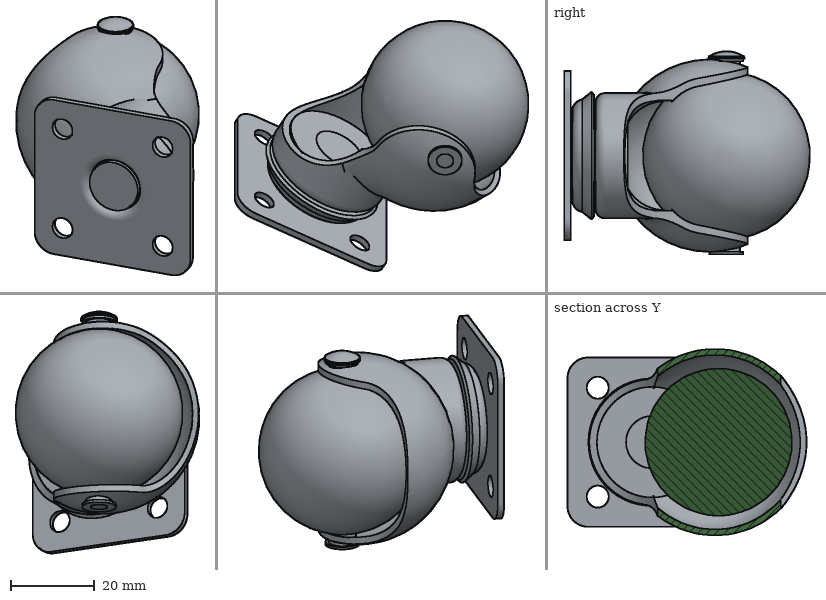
import cadquery as cq
import math


BALL_RADIUS = 20.0

HOOD_CENTRE_X = 0.85
HOOD_CENTRE_Y = -4.0
HOOD_RADIUS = 23.0
HOOD_WALL = 1.5

LUG_CENTRE_X = 1.9
LUG_CENTRE_Y = -7.3
LUG_RADIUS = 12.4
LIP_Y = -11.0
LIP_ARC_RADIUS = 11.7
BACK_ARC_RADIUS = 18.3
BACK_ARC_CENTRE_Y = -6.3
OPENING_REACH = 60.0

NECK_DROP_ANGLE = 42.2
NECK_START = 14.7

SWIVEL_X = 15.85
CUP_RADIUS = 15.0
CUP_BOTTOM_Y = -31.3
CUP_TOP_Y = -13.0
CUP_EDGE_RADIUS = 2.35

DISC_RADIUS = 13.2
DISC_TOP_Y = -23.6
DISC_THICKNESS = 2.0

PLATE_SIDE = 40.5
PLATE_FACE_Y = -38.76
PLATE_THICKNESS = 1.6
PLATE_CORNER_RADIUS = 5.0
SCREW_SPACING = 26.0
SCREW_HOLE_DIAMETER = 5.2
COLLAR_RADIUS = 8.0
COLLAR_HEIGHT = 0.4
FLARE_RADIUS = PLATE_THICKNESS + COLLAR_HEIGHT
THROAT_RADIUS = 6.5

RACE_BOTTOM_Y = PLATE_FACE_Y + FLARE_RADIUS
RACE_TOP_Y = -31.6
RACE_TOP_RADIUS = 14.5
RACE_RIM_Y = -32.2
RACE_RIM_RADIUS = 15.25
RACE_CONE_END = (13.5, -34.4)
RACE_ROUND_MIDDLE = (12.85, -35.75)
RACE_BOTTOM_RADIUS = 11.4

KING_PIN_RADIUS = 6.25
KING_PIN_RECESS = 0.7

FLANGE_RADIUS = 4.05
FLANGE_THICKNESS = 0.6
UPPER_FLANGE_Z = 22.5
LOWER_FLANGE_Z = 22.95
SLEEVE_RADIUS = 3.3
SLEEVE_END_Z = 17.0
AXLE_RADIUS = 2.0
CAP_EDGE_RADIUS = 4.2
CAP_RIM_RADIUS = 4.35
CAP_RIM_BOTTOM_Z = UPPER_FLANGE_Z + FLANGE_THICKNESS
CAP_RIM_HEIGHT = 0.25
DOME_START_Z = 23.7
DOME_TOP_Z = 24.95
AXLE_BOTTOM_Z = -(LOWER_FLANGE_Z + FLANGE_THICKNESS)


def swivel_cylinder(radius, bottom_y, top_y):
    """Cylinder on the swivel axis between two Y levels."""
    return (
        cq.Workplane("XZ", origin=(SWIVEL_X, bottom_y, 0))
        .circle(radius)
        .extrude(-(top_y - bottom_y))
    )


def hood_sphere(radius):
    return cq.Workplane("XY").sphere(radius).translate((HOOD_CENTRE_X, HOOD_CENTRE_Y, 0))


def make_bushing(flange_z, side):
    """Flanged bushing whose flange starts at |Z| = flange_z on the given side."""
    sleeve = cq.Workplane("XY").workplane(offset=SLEEVE_END_Z).circle(SLEEVE_RADIUS)
    sleeve = sleeve.extrude(flange_z - SLEEVE_END_Z)
    flange = cq.Workplane("XY").workplane(offset=flange_z).circle(FLANGE_RADIUS)
    bushing = sleeve.union(flange.extrude(FLANGE_THICKNESS))
    bore = cq.Workplane("XY").circle(AXLE_RADIUS).extrude(flange_z + FLANGE_THICKNESS)
    bushing = bushing.cut(bore)
    if side < 0:
        bushing = bushing.mirror("XY")
    return bushing


def make_axle():
    """Axle with a domed, rimmed head at its upper end."""
    dome_rise = DOME_TOP_Z - DOME_START_Z
    dome_radius = (CAP_EDGE_RADIUS**2 + dome_rise**2) / (2 * dome_rise)
    half_angle = math.asin(CAP_EDGE_RADIUS / dome_radius) / 2
    dome_middle = (
        dome_radius * math.sin(half_angle),
        DOME_TOP_Z - dome_radius * (1 - math.cos(half_angle)),
    )
    return (
        cq.Workplane("XZ")
        .moveTo(0, AXLE_BOTTOM_Z)
        .lineTo(AXLE_RADIUS, AXLE_BOTTOM_Z)
        .lineTo(AXLE_RADIUS, CAP_RIM_BOTTOM_Z)
        .lineTo(CAP_RIM_RADIUS, CAP_RIM_BOTTOM_Z)
        .lineTo(CAP_RIM_RADIUS, CAP_RIM_BOTTOM_Z + CAP_RIM_HEIGHT)
        .lineTo(CAP_EDGE_RADIUS, DOME_START_Z)
        .threePointArc(dome_middle, (0, DOME_TOP_Z))
        .close()
        .revolve(360, (0, 0, 0), (0, 1, 0))
    )


def make_ball(axle_parts):
    ball = cq.Workplane("XY").sphere(BALL_RADIUS)
    for part in axle_parts:
        ball = ball.cut(part)
    return ball


def make_neck():
    """Concave flare tangent to the hood, narrowing to the cup radius."""
    start_radius = math.sqrt(HOOD_RADIUS**2 - NECK_START**2)
    start_slope = math.asin(NECK_START / HOOD_RADIUS)
    flare = (start_radius - CUP_RADIUS) / (1 - math.cos(start_slope))
    end = NECK_START + flare * math.sin(start_slope)
    middle = (
        CUP_RADIUS + flare * (1 - math.cos(start_slope / 2)),
        end - flare * math.sin(start_slope / 2),
    )
    neck = (
        cq.Workplane("XY")
        .moveTo(0, NECK_START)
        .lineTo(start_radius, NECK_START)
        .threePointArc(middle, (CUP_RADIUS, end))
        .lineTo(0, end)
        .close()
        .revolve(360, (0, 0, 0), (0, 1, 0))
    )
    neck = neck.rotate((0, 0, 0), (0, 0, 1), -(90 + NECK_DROP_ANGLE))
    return neck.translate((HOOD_CENTRE_X, HOOD_CENTRE_Y, 0))


def tangent_point(centre_x, centre_y, radius):
    """Point where a circle touches the lug circle from outside."""
    share = LUG_RADIUS / (LUG_RADIUS + radius)
    return (
        LUG_CENTRE_X + share * (centre_x - LUG_CENTRE_X),
        LUG_CENTRE_Y + share * (centre_y - LUG_CENTRE_Y),
    )


def tangent_offset(radius, centre_y):
    """X distance from the lug centre to the centre of a circle touching the lug circle."""
    return math.sqrt((LUG_RADIUS + radius) ** 2 - (centre_y - LUG_CENTRE_Y) ** 2)


def arc_middle(centre, radius, start, end):
    """Middle of the short arc between two points of a circle."""
    x = (start[0] + end[0]) / 2 - centre[0]
    y = (start[1] + end[1]) / 2 - centre[1]
    scale = radius / math.hypot(x, y)
    return (centre[0] + scale * x, centre[1] + scale * y)


def make_opening():
    """Prism over the hood outline: lip, lip arc, lug and back arc, all tangent."""
    lip_centre_y = LIP_Y + LIP_ARC_RADIUS
    lip_centre_x = LUG_CENTRE_X - tangent_offset(LIP_ARC_RADIUS, lip_centre_y)
    lip_centre = (lip_centre_x, lip_centre_y)
    lip_end = (lip_centre_x, LIP_Y)
    lug_start = tangent_point(*lip_centre, LIP_ARC_RADIUS)

    back_centre_x = LUG_CENTRE_X + tangent_offset(BACK_ARC_RADIUS, BACK_ARC_CENTRE_Y)
    back_centre = (back_centre_x, BACK_ARC_CENTRE_Y)
    back_end = (back_centre_x, BACK_ARC_CENTRE_Y - BACK_ARC_RADIUS)
    lug_end = tangent_point(*back_centre, BACK_ARC_RADIUS)

    return (
        cq.Workplane("XY")
        .moveTo(-OPENING_REACH, LIP_Y)
        .lineTo(*lip_end)
        .threePointArc(arc_middle(lip_centre, LIP_ARC_RADIUS, lip_end, lug_start), lug_start)
        .threePointArc((LUG_CENTRE_X, LUG_CENTRE_Y + LUG_RADIUS), lug_end)
        .threePointArc(arc_middle(back_centre, BACK_ARC_RADIUS, lug_end, back_end), back_end)
        .lineTo(OPENING_REACH, back_end[1])
        .lineTo(OPENING_REACH, OPENING_REACH)
        .lineTo(-OPENING_REACH, OPENING_REACH)
        .close()
        .extrude(OPENING_REACH, both=True)
    )


def make_housing(fitted_parts):
    """Hood, neck and cup as one shell, with seats for the parts fitted into it."""
    cup = swivel_cylinder(CUP_RADIUS, CUP_BOTTOM_Y, CUP_TOP_Y)
    cup = cup.faces("<Y").edges().fillet(CUP_EDGE_RADIUS)
    cup_bore = swivel_cylinder(DISC_RADIUS, DISC_TOP_Y - DISC_THICKNESS, CUP_TOP_Y)
    housing = hood_sphere(HOOD_RADIUS).union(make_neck()).union(cup)
    housing = housing.cut(hood_sphere(HOOD_RADIUS - HOOD_WALL)).cut(cup_bore).cut(make_opening())
    for part in fitted_parts:
        housing = housing.cut(part)
    return housing


def make_king_pin():
    return swivel_cylinder(KING_PIN_RADIUS, PLATE_FACE_Y + KING_PIN_RECESS, DISC_TOP_Y)


def make_disc(king_pin):
    return swivel_cylinder(DISC_RADIUS, DISC_TOP_Y - DISC_THICKNESS, DISC_TOP_Y).cut(king_pin)


def make_race():
    """Ring with a bevelled rim, a conical flank and a rounded lower edge."""
    return (
        cq.Workplane("XY")
        .moveTo(KING_PIN_RADIUS, RACE_TOP_Y)
        .lineTo(RACE_TOP_RADIUS, RACE_TOP_Y)
        .lineTo(RACE_RIM_RADIUS, RACE_RIM_Y)
        .lineTo(*RACE_CONE_END)
        .threePointArc(RACE_ROUND_MIDDLE, (RACE_BOTTOM_RADIUS, RACE_BOTTOM_Y))
        .lineTo(KING_PIN_RADIUS, RACE_BOTTOM_Y)
        .close()
        .revolve(360, (0, 0, 0), (0, 1, 0))
        .translate((SWIVEL_X, 0, 0))
    )


def make_plate():
    """Square plate with four screw holes and a collar whose hole flares towards -Y."""
    plate = (
        cq.Workplane("XZ", origin=(SWIVEL_X, PLATE_FACE_Y, 0))
        .rect(PLATE_SIDE, PLATE_SIDE)
        .extrude(-PLATE_THICKNESS)
        .edges("|Y")
        .fillet(PLATE_CORNER_RADIUS)
    )
    collar = swivel_cylinder(COLLAR_RADIUS, PLATE_FACE_Y, RACE_BOTTOM_Y)
    screw_holes = (
        cq.Workplane("XZ", origin=(SWIVEL_X, PLATE_FACE_Y, 0))
        .rect(SCREW_SPACING, SCREW_SPACING, forConstruction=True)
        .vertices()
        .circle(SCREW_HOLE_DIAMETER / 2)
        .extrude(-PLATE_THICKNESS)
    )
    diagonal = FLARE_RADIUS * math.sqrt(0.5)
    flared_hole = (
        cq.Workplane("XY")
        .moveTo(0, PLATE_FACE_Y)
        .lineTo(THROAT_RADIUS + FLARE_RADIUS, PLATE_FACE_Y)
        .threePointArc(
            (THROAT_RADIUS + FLARE_RADIUS - diagonal, RACE_BOTTOM_Y - diagonal),
            (THROAT_RADIUS, RACE_BOTTOM_Y),
        )
        .lineTo(0, RACE_BOTTOM_Y)
        .close()
        .revolve(360, (0, 0, 0), (0, 1, 0))
        .translate((SWIVEL_X, 0, 0))
    )
    return plate.union(collar).cut(screw_holes).cut(flared_hole)


bushings = [make_bushing(UPPER_FLANGE_Z, 1), make_bushing(LOWER_FLANGE_Z, -1)]
axle = make_axle()
ball = make_ball([axle, *bushings])
king_pin = make_king_pin()
disc = make_disc(king_pin)
housing = make_housing([axle, *bushings, disc, king_pin])
race = make_race()
plate = make_plate()

result = cq.Compound.makeCompound(
    [
        plate.val(),
        race.val(),
        king_pin.val(),
        disc.val(),
        housing.val(),
        ball.val(),
        axle.val(),
        *[bushing.val() for bushing in bushings],
    ]
)